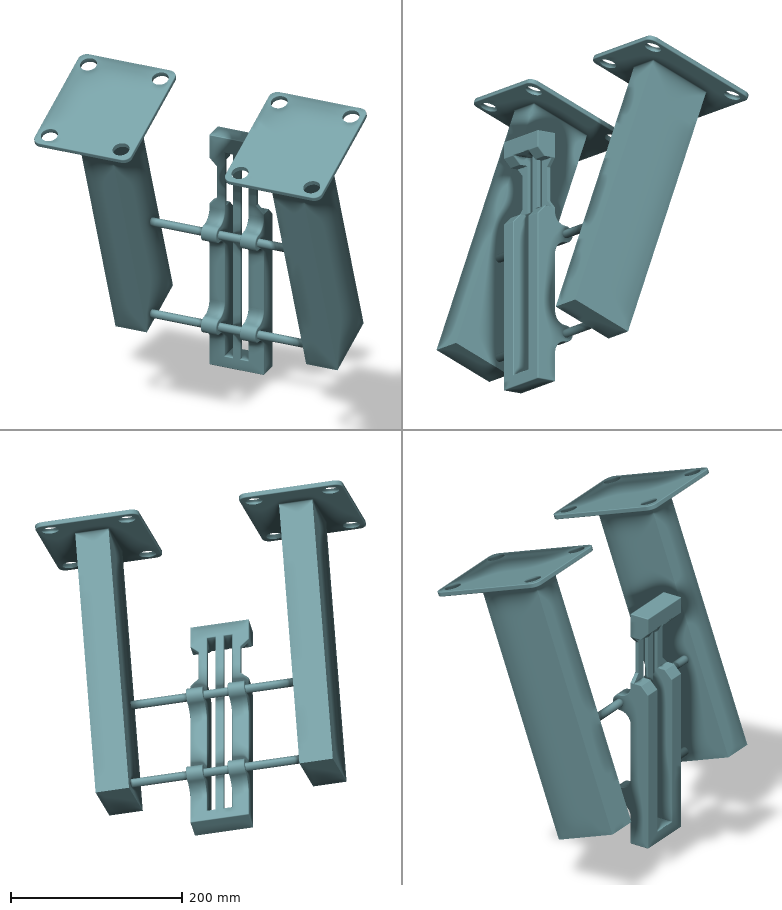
import cadquery as cq
import math

edge_radius = 1.0
tolerance = 0.005

rail_width = 20.0
slot_width = rail_width / 2
bar_width = 2 * rail_width + 3 * slot_width
bar_depth = 25.0
bar_height = 300.0
slot_bottom_margin = 15.0
slot_top_margin = 20.0
slot_height = bar_height - slot_bottom_margin - slot_top_margin
strip_thickness = 5.0

lug_radius = rail_width / 2
lug_reach = 15.0

groove_width = 60.0
groove_side_depth = 10.0
groove_centre = bar_height - groove_width

rod_radius = lug_radius / 2
rod_spacing = 120.0
rod_mid_height = bar_height - 1.5 * rod_spacing

leg_tilt = 20
leg_spacing = 244.0
post_width = 40.0
post_depth = 80.0
post_above_rods = 256.5
post_below_rods = 69.0
plate_width = 124.0
plate_length = 152.2
plate_thickness = 6.0
plate_corner_radius = 10.0
plate_hole_diameter = 20.0
plate_hole_margin = 16.0

bar_front = lug_reach
bar_back = bar_front + bar_depth
rod_heights = [rod_mid_height - rod_spacing / 2, rod_mid_height + rod_spacing / 2]
rod_length = leg_spacing + post_width


def make_rod(height):
    """Plain rod along X, ending flush with the outer faces of the posts."""
    return cq.Solid.makeCylinder(
        rod_radius, rod_length, cq.Vector(-rod_length / 2, 0, height), cq.Vector(1, 0, 0)
    )


def make_rail_blank():
    """Full-width bar with rounded lugs that blend into its front face."""
    diagonal = math.sqrt(0.5)
    root_centre = lug_radius + lug_reach
    root_mid = root_centre - lug_reach * diagonal
    outline = cq.Workplane("YZ").moveTo(bar_back, 0).lineTo(bar_front, 0)
    for height in rod_heights:
        outline = (
            outline.lineTo(bar_front, height - root_centre)
            .threePointArc((lug_reach * diagonal, height - root_mid), (0, height - lug_radius))
            .threePointArc((-lug_radius, height), (0, height + lug_radius))
            .threePointArc((lug_reach * diagonal, height + root_mid), (bar_front, height + root_centre))
        )
    outline = outline.lineTo(bar_front, bar_height).lineTo(bar_back, bar_height).close()
    return outline.extrude(bar_width / 2, both=True)


def cut_lug_gap(bar):
    """Remove the lugs between the two rails."""
    gap_width = bar_width - 2 * rail_width
    gap_depth = lug_radius + lug_reach
    gap = cq.Workplane("XY").box(gap_width, gap_depth, bar_height, centered=(True, False, False))
    return bar.cut(gap.translate((0, -lug_radius, 0)))


def cut_slots(bar):
    """Cut the two long slots through the bar, either side of the middle strip."""
    slot = cq.Workplane("XY").box(slot_width, bar_depth, slot_height, centered=(True, False, False))
    for side in (-1, 1):
        bar = bar.cut(slot.translate((side * slot_width, bar_front, slot_bottom_margin)))
    return bar


def cut_back_pocket(bar):
    """Hollow out the bar behind the middle strip, joining the two slots at the back."""
    pocket = (
        cq.Workplane("XY")
        .box(3 * slot_width, bar_depth - strip_thickness, slot_height, centered=(True, False, False))
        .translate((0, bar_front + strip_thickness, slot_bottom_margin))
    )
    return bar.cut(pocket)


def cut_side_notches(bar):
    """Cut the strap groove into both sides of the bar, with 45 degree flanks."""
    half = groove_width / 2
    flank = groove_side_depth
    for side in (-1, 1):
        outer = side * bar_width / 2
        inner = outer - side * flank
        notch = (
            cq.Workplane("XZ", origin=(0, bar_front, groove_centre))
            .polyline([(outer, -half), (inner, flank - half), (inner, half - flank), (outer, half)])
            .close()
            .extrude(-bar_depth)
        )
        bar = bar.cut(notch)
    return bar


def cut_back_groove(bar):
    """Cut the strap groove across the back of the bar, chamfered where it opens."""
    half = groove_width / 2
    flank = groove_side_depth
    floor = bar_front + strip_thickness
    groove = (
        cq.Workplane("YZ", origin=(0, 0, groove_centre))
        .polyline([
            (floor, -half),
            (bar_back - flank, -half),
            (bar_back, -half - flank),
            (bar_back, half + flank),
            (bar_back - flank, half),
            (floor, half),
        ])
        .close()
        .extrude(bar_width / 2, both=True)
    )
    return bar.cut(groove)


def stays_sharp(edge):
    """True for lines where lug arcs run on smoothly, and for the inside corners of the slots."""
    box = edge.BoundingBox()
    tangent_offsets = (lug_radius, lug_radius + lug_reach)
    along_x = box.ylen < tolerance and box.zlen < tolerance
    along_y = box.xlen < tolerance and box.zlen < tolerance
    on_lug = any(
        abs(abs(box.center.z - height) - offset) < tolerance
        for height in rod_heights
        for offset in tangent_offsets
    )
    in_slots = abs(box.center.x) < bar_width / 2 - rail_width + tolerance
    return (along_x and on_lug) or (along_y and in_slots)


def make_bracket(rods):
    """Slotted bar with lugs for the rods and a groove for a strap."""
    bar = cut_side_notches(cut_slots(cut_lug_gap(make_rail_blank())))
    rounded_edges = [edge for edge in bar.edges().vals() if not stays_sharp(edge)]
    bar = bar.newObject(rounded_edges).fillet(edge_radius)
    bar = cut_back_groove(bar)
    lower_flank = cq.selectors.ParallelDirSelector(cq.Vector(0, 1, -1))
    upper_flank = cq.selectors.ParallelDirSelector(cq.Vector(0, 1, 1))
    bar = bar.faces(lower_flank + upper_flank).edges().fillet(edge_radius)
    bar = cut_back_pocket(bar)
    for rod in rods:
        bar = bar.cut(cq.Workplane(rod))
    return bar


def make_leg(side, rods):
    """Post and drilled mounting plate, leaning forward about the rods."""
    hole_pitch_across = plate_width - 2 * plate_hole_margin
    hole_pitch_along = plate_length - 2 * plate_hole_margin
    plate = (
        cq.Workplane("XY", origin=(0, 0, post_above_rods))
        .rect(plate_width, plate_length)
        .extrude(plate_thickness)
        .edges("|Z")
        .fillet(plate_corner_radius)
        .faces("<Z or >Z")
        .edges()
        .fillet(edge_radius)
        .faces(">Z")
        .workplane()
        .rect(hole_pitch_across, hole_pitch_along, forConstruction=True)
        .vertices()
        .hole(plate_hole_diameter)
    )
    post = (
        cq.Workplane("XY", origin=(0, 0, -post_below_rods))
        .rect(post_width, post_depth)
        .extrude(post_below_rods + post_above_rods)
    )
    junction = cq.selectors.BoxSelector(
        (-post_width, -post_depth, post_above_rods - tolerance),
        (post_width, post_depth, post_above_rods + tolerance),
    )
    leg = (
        post.union(plate)
        .edges(junction)
        .fillet(edge_radius)
        .rotate((0, 0, 0), (1, 0, 0), leg_tilt)
        .translate((side * leg_spacing / 2, 0, rod_mid_height))
    )
    for rod in rods:
        leg = leg.cut(cq.Workplane(rod))
    return leg


rods = [make_rod(height) for height in rod_heights]
bracket = make_bracket(rods)
legs = [make_leg(side, rods) for side in (-1, 1)]

result = cq.Compound.makeCompound([bracket.val(), *rods, *[leg.val() for leg in legs]])